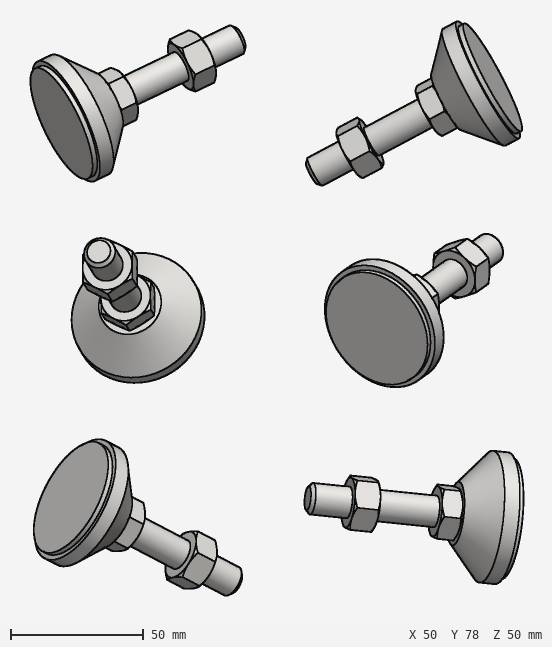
import cadquery as cq
import math

total_length = 78.0
pad_thickness = 2.0
rim_height = 6.0
cone_height = 11.9
lower_nut_height = 8.0
upper_nut_height = 10.0
upper_nut_start = 52.2

pad_diameter = 46.0
foot_diameter = 50.0
cone_top_diameter = 24.0
stud_diameter = 12.0
nut_across_flats = 19.0

tip_chamfer = 1.5
nut_bevel_angle = 30.0

rim_top = pad_thickness + rim_height
foot_top = rim_top + cone_height
nut_across_corners = nut_across_flats / math.cos(math.radians(30))
nut_bevel_width = (nut_across_corners - nut_across_flats) / 2
nut_bevel_drop = nut_bevel_width * math.tan(math.radians(nut_bevel_angle))


def revolve_about_y(profile):
    """Turn a closed (radius, y) profile about the Y axis."""
    return cq.Workplane("XY").polyline(profile).close().revolve(360, (0, 0, 0), (0, 1, 0))


def make_foot_and_stud():
    """Pad, rim, conical foot and chamfered stud as one turned body."""
    pad_radius = pad_diameter / 2
    foot_radius = foot_diameter / 2
    stud_radius = stud_diameter / 2
    return revolve_about_y([
        (0, 0),
        (pad_radius, 0),
        (pad_radius, pad_thickness),
        (foot_radius, pad_thickness),
        (foot_radius, rim_top),
        (cone_top_diameter / 2, foot_top),
        (stud_radius, foot_top),
        (stud_radius, total_length - tip_chamfer),
        (stud_radius - tip_chamfer, total_length),
        (0, total_length),
    ])


def make_nut(start, height):
    """Hex nut with flats facing X, corners along Z and both ends bevelled."""
    end = start + height
    hexagon = (
        cq.Workplane("XZ", origin=(0, start, 0))
        .transformed(rotate=(0, 0, 90))
        .polygon(6, nut_across_corners)
        .extrude(-height)
    )
    flat_radius = nut_across_flats / 2
    corner_radius = nut_across_corners / 2
    bevel_envelope = revolve_about_y([
        (0, start),
        (flat_radius, start),
        (corner_radius, start + nut_bevel_drop),
        (corner_radius, end - nut_bevel_drop),
        (flat_radius, end),
        (0, end),
    ])
    return hexagon.intersect(bevel_envelope)


lower_nut = make_nut(foot_top, lower_nut_height)
upper_nut = make_nut(upper_nut_start, upper_nut_height)

result = make_foot_and_stud().union(lower_nut).union(upper_nut)
result = result.translate((0, -total_length / 2, 0))